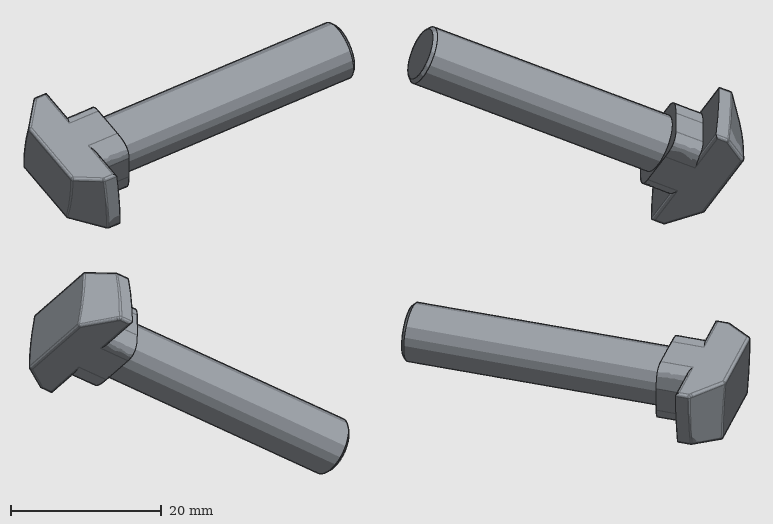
import cadquery as cq

total_length = 45.45
head_width = 19.1
thickness = 8.55

flank_start = 3.65
shoulder = 5.55
end_curve_in = 0.95
face_wide = 6.23
face_curve_in = 1.35
edge_radius = 0.4

neck_width = 10.0
neck_corner_short = 2.1
neck_corner_long = 3.0
neck_end = 9.65
shank_diameter = 8.0
shank_chamfer = 0.45

half_thick = thickness / 2


def head_section(y, wide, curve_in, wide_side):
    """Closed outline at Y = y, unchanged by a half turn about the bolt axis.

    The left side is widest at the top for wide_side = 1 and at the bottom for -1;
    its arc is upright at the widest corner.
    """
    narrow = wide - curve_in
    middle = wide - curve_in / 4
    left_top, left_bottom = (wide, narrow) if wide_side > 0 else (narrow, wide)

    def point(x, z):
        return cq.Vector(x, y, z)

    top_left = point(-left_top, half_thick)
    bottom_left = point(-left_bottom, -half_thick)
    bottom_right = point(left_top, -half_thick)
    top_right = point(left_bottom, half_thick)
    return cq.Wire.assembleEdges([
        cq.Edge.makeThreePointArc(top_left, point(-middle, 0), bottom_left),
        cq.Edge.makeLine(bottom_left, bottom_right),
        cq.Edge.makeThreePointArc(bottom_right, point(middle, 0), top_right),
        cq.Edge.makeLine(top_right, top_left),
    ])


def make_head():
    """Twisted T-slot head with rounded edges; the upright shoulder edges stay sharp."""
    face = head_section(0, face_wide, face_curve_in, -1)
    middle = head_section(flank_start, head_width / 2, end_curve_in, 1)
    back = head_section(shoulder, head_width / 2, end_curve_in, 1)
    solid = cq.Solid.makeLoft([face, middle, back], True)
    head = cq.Workplane(obj=solid)
    sharp_edges = head.faces(">Y").edges("not |X")
    rounded = [e for e in head.edges().vals() if not any(e.isSame(s) for s in sharp_edges.vals())]
    return head.newObject(rounded).fillet(edge_radius)


def along_axis(start):
    """Sketch plane across the bolt axis at Y = start."""
    return cq.Workplane("XZ", origin=(0, start, 0))


def make_neck():
    """Neck with oval corners, sunk past the rounded shoulder edges of the head.

    Going around the neck the corners are alternately tall and wide, and the
    outline is unchanged by a half turn about the bolt axis.
    """
    start = shoulder - edge_radius
    half_width = neck_width / 2
    outline = along_axis(start).moveTo(-half_width + neck_corner_short, half_thick)
    for turn in (1, -1):
        right = turn * half_width
        top = turn * half_thick
        across = (turn, 0)
        down = (0, -turn)
        back = (-turn, 0)
        outline = (
            outline.lineTo(right - turn * neck_corner_long, top)
            .spline([(right, top - turn * neck_corner_short)], [across, down], includeCurrent=True)
            .lineTo(right, -top + turn * neck_corner_long)
            .spline([(right - turn * neck_corner_short, -top)], [down, back], includeCurrent=True)
        )
    return outline.close().extrude(start - neck_end)


def make_shank():
    """Round shank with a chamfered tip."""
    shank = along_axis(neck_end).circle(shank_diameter / 2).extrude(neck_end - total_length)
    return shank.faces(">Y").chamfer(shank_chamfer)


result = make_head().union(make_neck()).union(make_shank())